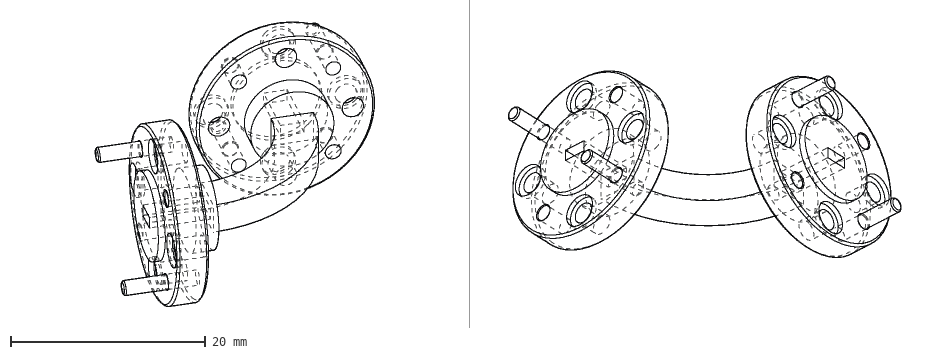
import cadquery as cq
import math

overall_length = 32.45

flange_diameter = 19.05
flange_thickness = 3.37
flange_edge_chamfer = 0.25
contact_face_diameter = 9.5
contact_face_height = 0.75
hub_diameter = 8.9
hub_length = 2.43

bolt_circle_radius = 7.15
screw_hole_diameter = 2.27
counterbore_diameter = 3.6
counterbore_depth = 0.6
open_hole_diameter = 1.7
hole_rim_chamfer = 0.1

pin_diameter = 1.6
pin_tip_chamfer = 0.15

port_width = 2.53
port_height = 1.25

bend_width = 4.55
bend_height = 3.28
bend_radius = 12.5
bend_angle = 90

hub_back = flange_thickness + hub_length
port_length = hub_back + contact_face_height
pin_projection = overall_length - flange_diameter / 2 - bend_radius - hub_back
diagonal_offset = bolt_circle_radius * math.cos(math.radians(45))

screw_points = [
    (bolt_circle_radius, 0),
    (0, bolt_circle_radius),
    (-bolt_circle_radius, 0),
    (0, -bolt_circle_radius),
]
open_hole_points = [(diagonal_offset, diagonal_offset), (-diagonal_offset, -diagonal_offset)]
pin_points = [(-diagonal_offset, diagonal_offset), (diagonal_offset, -diagonal_offset)]

front_flange_plane = cq.Plane(
    origin=(bend_radius, -hub_back, 0), xDir=(1, 0, 0), normal=(0, -1, 0)
)
side_flange_plane = cq.Plane(
    origin=(-hub_back, bend_radius, 0), xDir=(0, -1, 0), normal=(-1, 0, 0)
)
flange_planes = [front_flange_plane, side_flange_plane]


def cylinder(plane, points, diameter, start, length):
    """Cylinders along the plane's normal, one per point, from start to start + length."""
    return (
        cq.Workplane(plane)
        .workplane(offset=start)
        .pushPoints(points)
        .circle(diameter / 2)
        .extrude(length)
    )


def make_flange(plane):
    """Flange plate, contact face and hub, with the round holes and the port."""
    centre = [(0, 0)]
    plate = cylinder(plane, centre, flange_diameter, -flange_thickness, flange_thickness)
    plate = plate.edges().chamfer(flange_edge_chamfer)

    screw_holes = cylinder(plane, screw_points, screw_hole_diameter, 0, -flange_thickness)
    counterbores = cylinder(plane, screw_points, counterbore_diameter, 0, -counterbore_depth)
    open_holes = chamfered_hole_cutters(plane, open_hole_points, open_hole_diameter)
    pin_holes = chamfered_hole_cutters(plane, pin_points, pin_diameter)
    plate = plate.cut(screw_holes).cut(counterbores).cut(open_holes).cut(pin_holes)

    contact_face = cylinder(plane, centre, contact_face_diameter, 0, contact_face_height)
    hub = cylinder(plane, centre, hub_diameter, -hub_back, hub_length)
    return plate.union(contact_face).union(hub).cut(make_port(plane))


def chamfered_hole_cutters(plane, points, diameter):
    """Cutters for holes through the plate, each with a chamfer round its front rim."""
    holes = cylinder(plane, points, diameter, 0, -flange_thickness)
    rims = (
        cq.Workplane(plane)
        .pushPoints(points)
        .circle(diameter / 2 + hole_rim_chamfer)
        .extrude(-hole_rim_chamfer, taper=45)
    )
    return holes.union(rims)


def make_port(plane):
    """Cutter for the rectangular port, from the hub back to the contact face."""
    return (
        cq.Workplane(plane)
        .workplane(offset=-hub_back)
        .rect(port_width, port_height)
        .extrude(port_length)
    )


def make_bend():
    """Solid rectangular bar curving about the Z axis from one hub to the other."""
    return (
        cq.Workplane("XZ")
        .center(bend_radius, 0)
        .rect(bend_width, bend_height)
        .revolve(bend_angle, (-bend_radius, 0), (-bend_radius, 1))
    )


def make_waveguide():
    """One solid: the bend with a flange at each end."""
    body = make_bend()
    for plane in flange_planes:
        body = body.union(make_flange(plane))
    return body


def make_pin(plane, point):
    """Dowel pin filling its hole and standing out of the flange, with a chamfered tip."""
    pin_length = flange_thickness + pin_projection
    pin = cylinder(plane, [point], pin_diameter, -flange_thickness, pin_length)
    tip_face = cq.selectors.DirectionMinMaxSelector(plane.zDir)
    return pin.faces(tip_face).chamfer(pin_tip_chamfer)


waveguide = make_waveguide()
pins = [make_pin(plane, point) for plane in flange_planes for point in pin_points]

result = cq.Compound.makeCompound([waveguide.val(), *[pin.val() for pin in pins]])